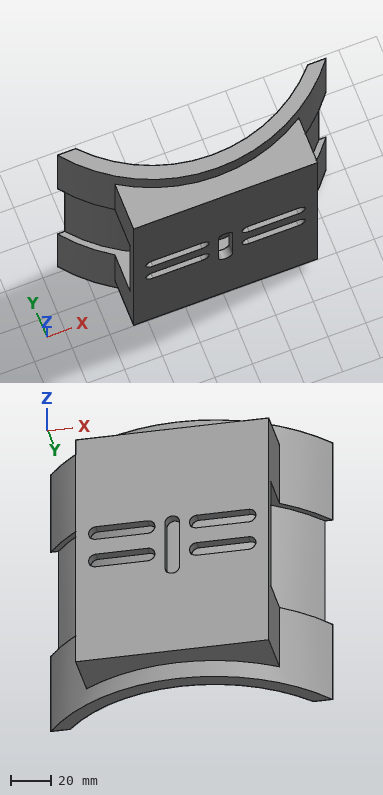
import cadquery as cq
import math

saddle_width = 142.5
saddle_height = 150.0
outer_radius = 90.0
inner_radius = 82.5
axis_y = math.sqrt(outer_radius**2 - (saddle_width / 2) ** 2)

block_width = 97.5
block_bottom = 9.3
block_top = 139.0
front_y = -46.2
plate_thickness = 5.0

band_bottom = 44.0
band_top = 104.8
band_height = band_top - band_bottom
band_radius = 87.0

slot_length = 33.5
slot_width = 7.4
side_slot_x = 25.5
side_slot_heights = (67.2, 83.2)
center_slot_z = 71.4


def cylinder(radius, bottom, height):
    """Upright cylinder on the saddle axis."""
    return cq.Workplane("XY", origin=(0, axis_y, bottom)).circle(radius).extrude(height)


def front_box(width, back_y, bottom, height):
    """Box reaching from the front face back to the given Y."""
    depth = back_y - front_y
    base = cq.Workplane("XY", origin=(0, front_y + depth / 2, bottom))
    return base.rect(width, depth).extrude(height)


def plate_slot(x, z, angle):
    """Round-ended cutter through the front plate."""
    face = cq.Workplane("XZ", origin=(x, front_y, z))
    return face.slot2D(slot_length, slot_width, angle).extrude(-plate_thickness)


body = cylinder(outer_radius, 0, saddle_height)
body = body.union(front_box(block_width, 0, block_bottom, block_top - block_bottom))
body = body.intersect(front_box(saddle_width, 0, 0, saddle_height))

relief = front_box(saddle_width, 0, band_bottom, band_height)
relief = relief.cut(cylinder(band_radius, band_bottom, band_height))
relief = relief.cut(front_box(saddle_width, front_y + plate_thickness, band_bottom, band_height))
body = body.cut(relief)

body = body.cut(cylinder(inner_radius, 0, saddle_height))

for slot_z in side_slot_heights:
    for slot_x in (-side_slot_x, side_slot_x):
        body = body.cut(plate_slot(slot_x, slot_z, 0))
body = body.cut(plate_slot(0, center_slot_z, 90))

result = body